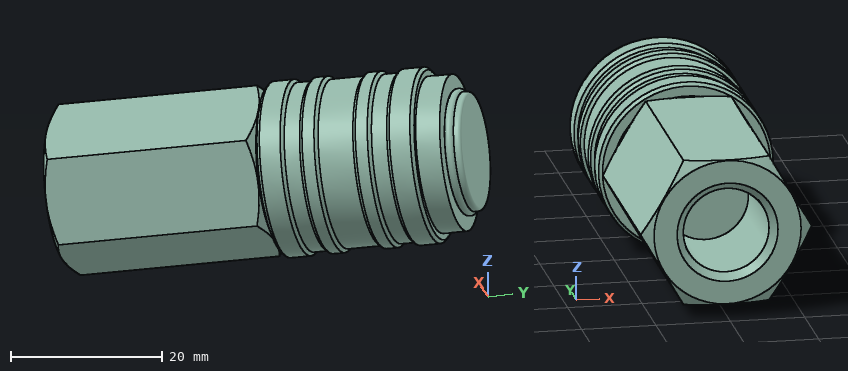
import cadquery as cq
import math

length = 56.5

hex_across_flats = 19.95
hex_length = 29.05
hex_chamfer_radius = 9.9
hex_chamfer_angle = 30.0

bore_radius = 5.75
bore_depth = 15.8
bore_mouth_radius = 6.8
bore_chamfer = bore_mouth_radius - bore_radius

neck_radius = 9.95
spindle_radius = 7.95
nose_fillet = 0.45

bead_outer_radius = 8.5
bead_section_radius = 0.6

sleeve_start = 29.55
sleeve_end = 54.3
collar_radius = 10.45
collar_length = 3.3
barrel_end = sleeve_end - collar_length
barrel_radius = 11.3
ridge_radius = 11.75
ridge_chamfer = ridge_radius - barrel_radius
wide_ridge = 3.75
narrow_ridge = 2.55
wide_groove = 4.75
narrow_groove = (barrel_end - sleeve_start - 2 * wide_ridge - 2 * narrow_ridge - wide_groove) / 2
ridge_widths = [wide_ridge, narrow_ridge, narrow_ridge, wide_ridge]
groove_widths = [narrow_groove, wide_groove, narrow_groove]


def cylinder(radius, start, end):
    """Cylinder along Y between two positions."""
    return cq.Workplane("XZ", origin=(0, start, 0)).circle(radius).extrude(start - end)


def hexagon():
    """Hexagon with corners on X, its corners cut conically at both ends."""
    corner_radius = hex_across_flats / 2 / math.cos(math.radians(30))
    prism = cq.Workplane("XZ").polygon(6, 2 * corner_radius).extrude(-hex_length)
    drop = (corner_radius - hex_chamfer_radius) * math.tan(math.radians(hex_chamfer_angle))
    envelope = (
        cq.Workplane("XY")
        .moveTo(0, 0)
        .lineTo(hex_chamfer_radius, 0)
        .lineTo(corner_radius, drop)
        .lineTo(corner_radius, hex_length - drop)
        .lineTo(hex_chamfer_radius, hex_length)
        .lineTo(0, hex_length)
        .close()
        .revolve(360, (0, 0, 0), (0, 1, 0))
    )
    return prism.intersect(envelope)


def bead():
    """Ring of round section."""
    ring_radius = bead_outer_radius - bead_section_radius
    return (
        cq.Workplane("XY")
        .center(ring_radius, sleeve_end + bead_section_radius)
        .circle(bead_section_radius)
        .revolve(360, (-ring_radius, 0, 0), (-ring_radius, 1, 0))
    )


def make_body():
    """Hexagon, neck and spindle ending in a beaded nose, with a blind bore."""
    neck = cylinder(neck_radius, hex_length, sleeve_start)
    spindle = cylinder(spindle_radius, sleeve_start, length).faces(">Y").edges().fillet(nose_fillet)
    bore = cylinder(bore_radius, 0, bore_depth)
    mouth = (
        cq.Workplane("XZ")
        .circle(bore_mouth_radius)
        .workplane(offset=-bore_chamfer)
        .circle(bore_radius)
        .loft()
    )
    return hexagon().union(neck).union(spindle).union(bead()).cut(bore).cut(mouth)


def make_ridge(start, width):
    """Grip ridge chamfered on both rims."""
    return cylinder(ridge_radius, start, start + width).edges().chamfer(ridge_chamfer)


def make_sleeve():
    """Ridged sliding sleeve with a reduced collar, bored to fit the spindle."""
    sleeve = cylinder(barrel_radius, sleeve_start, barrel_end)
    sleeve = sleeve.union(cylinder(collar_radius, barrel_end, sleeve_end))
    start = sleeve_start
    for width, groove in zip(ridge_widths, groove_widths + [0]):
        sleeve = sleeve.union(make_ridge(start, width))
        start += width + groove
    return sleeve.cut(cylinder(spindle_radius, sleeve_start, sleeve_end))


body = make_body()
sleeve = make_sleeve()
result = cq.Compound.makeCompound([body.val(), sleeve.val()])